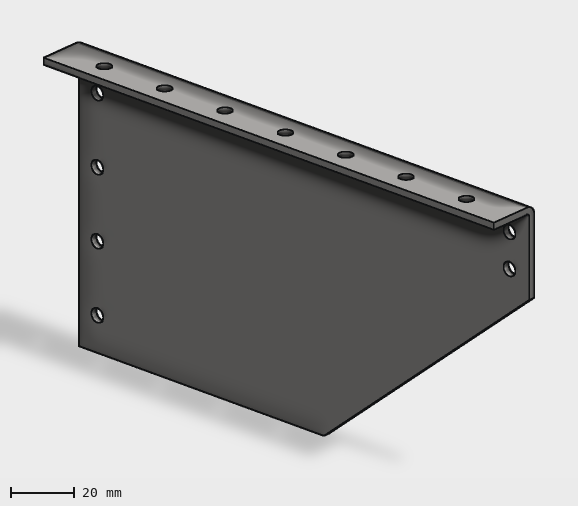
import cadquery as cq

length = 189.9
flange_width = 19.0
height = 104.6
thickness = 2.5
bend_outer_radius = 3.5
bend_inner_radius = bend_outer_radius - thickness

bottom_edge_length = 103.3
right_edge_height = 32.0

hole_diameter = 5.0
hole_pitch = 25.5
edge_distance = 7.8
left_hole_count = 4
left_hole_drop = 15.4
right_hole_x = 181.5
right_hole_drop = 11.2
right_hole_count = 2
right_hole_pitch = hole_pitch / 2
flange_hole_count = 7
flange_first_hole_x = 18.6


def bent_sheet():
    """L section with a rounded bend, running along X."""
    section = (
        cq.Workplane("YZ")
        .moveTo(0, 0)
        .lineTo(0, height - bend_outer_radius)
        .radiusArc((-bend_outer_radius, height), -bend_outer_radius)
        .lineTo(-flange_width, height)
        .lineTo(-flange_width, height - thickness)
        .lineTo(-bend_outer_radius, height - thickness)
        .radiusArc((-thickness, height - bend_outer_radius), bend_inner_radius)
        .lineTo(-thickness, 0)
        .close()
    )
    return section.extrude(length)


def corner_cut():
    """Triangular prism removed below the sloped edge."""
    return (
        cq.Workplane("XZ")
        .moveTo(bottom_edge_length, 0)
        .lineTo(length, height - right_edge_height)
        .lineTo(length, 0)
        .close()
        .extrude(flange_width)
    )


def plate_holes():
    """Drills along Y through the upright plate."""
    left = [
        (edge_distance, height - left_hole_drop - i * hole_pitch)
        for i in range(left_hole_count)
    ]
    right = [
        (right_hole_x, height - right_hole_drop - i * right_hole_pitch)
        for i in range(right_hole_count)
    ]
    return (
        cq.Workplane("XZ")
        .pushPoints(left + right)
        .circle(hole_diameter / 2)
        .extrude(thickness)
    )


def flange_holes():
    """Drills along Z through the top flange."""
    centers = [
        (flange_first_hole_x + i * hole_pitch, edge_distance - flange_width)
        for i in range(flange_hole_count)
    ]
    return (
        cq.Workplane("XY", origin=(0, 0, height - thickness))
        .pushPoints(centers)
        .circle(hole_diameter / 2)
        .extrude(thickness)
    )


result = bent_sheet().cut(corner_cut()).cut(plate_holes()).cut(flange_holes())